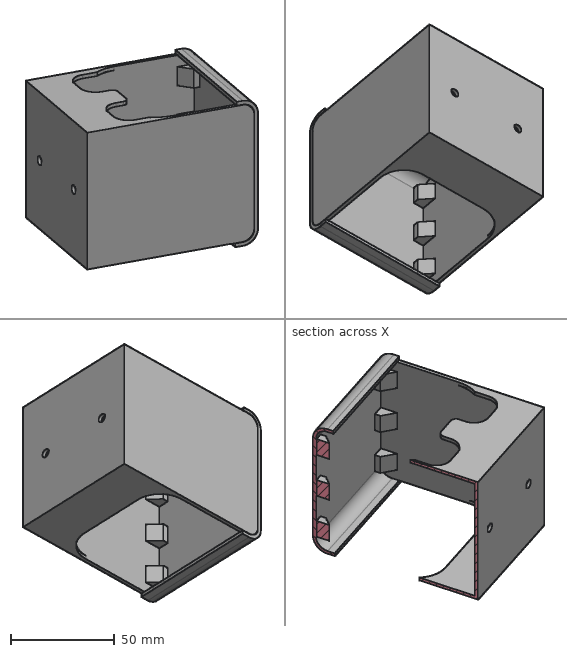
import cadquery as cq
import math

width = 71.5
depth = 91.2
height = 76.4
wall = 2.0

clearance = 0.2
housing_depth = depth - wall - clearance
housing_height = height - 2 * (wall + clearance)
housing_corner_radius = 6.0
half_inner_width = width / 2 - wall
window_cut_depth = 3 * wall

cover_inner_height = height - 2 * wall
cover_inner_radius = housing_corner_radius + clearance
cover_outer_radius = cover_inner_radius + wall
top_lip_length = 11.4
bottom_lip_length = 12.2

bottom_window_front = 25.0
bottom_window_radius = 15.0

shoulder_radius = 20.0
shoulder_start = 46.15
lobe_front = 20.0
lobe_outer_x = 30.8
lobe_radius = 8.0
tongue_half_width = 7.75
tongue_end = 34.9
tongue_radius = 3.0

screw_hole_diameter = 4.5
screw_hole_spacing = 39.6

post_width = 6.0
post_inner_depth = 3.0
post_depth = post_inner_depth + post_width
post_height = 9.9
post_spacing = 25.0
posts_per_side = 3


def rounded_back_block(block_width, front, back, block_height, radius):
    """Block centred on X and Z with its two back edges along X rounded."""
    return (
        cq.Workplane("XY")
        .box(block_width, back - front, block_height)
        .translate((0, (front + back) / 2, 0))
        .edges("|X and >Y")
        .fillet(radius)
    )


def block(x_size, y_start, y_end, z_start, z_end):
    """Plain block centred on X."""
    return (
        cq.Workplane("XY", origin=(0, (y_start + y_end) / 2, z_start))
        .rect(x_size, y_end - y_start)
        .extrude(z_end - z_start)
    )


def bottom_window():
    """Cutter through the floor, rounded at the front and open at the back."""
    cutter = block(
        2 * half_inner_width, bottom_window_front, depth, -height / 2, window_cut_depth - height / 2
    )
    return cutter.edges("|Z and <Y").fillet(bottom_window_radius)


def top_window():
    """Cutter through the roof, open at the back."""
    diagonal = math.sqrt(0.5)
    shoulder_center_x = half_inner_width - shoulder_radius
    shoulder_end_angle = math.acos((lobe_outer_x - shoulder_center_x) / shoulder_radius)

    def shoulder_point(angle):
        x = shoulder_center_x + shoulder_radius * math.cos(angle)
        return (x, shoulder_start - shoulder_radius * math.sin(angle))

    tongue_center = (tongue_half_width - tongue_radius, tongue_end - tongue_radius)
    lobe_center_y = lobe_front + lobe_radius
    inner_center_x = tongue_half_width + lobe_radius
    outer_center_x = lobe_outer_x - lobe_radius

    half = (
        cq.Workplane("XY")
        .moveTo(0, tongue_end)
        .lineTo(tongue_center[0], tongue_end)
        .threePointArc(
            (tongue_center[0] + diagonal * tongue_radius, tongue_center[1] + diagonal * tongue_radius),
            (tongue_half_width, tongue_center[1]),
        )
        .lineTo(tongue_half_width, lobe_center_y)
        .threePointArc(
            (inner_center_x - diagonal * lobe_radius, lobe_center_y - diagonal * lobe_radius),
            (inner_center_x, lobe_front),
        )
        .lineTo(outer_center_x, lobe_front)
        .threePointArc(
            (outer_center_x + diagonal * lobe_radius, lobe_center_y - diagonal * lobe_radius),
            (lobe_outer_x, lobe_center_y),
        )
        .lineTo(*shoulder_point(shoulder_end_angle))
        .threePointArc(shoulder_point(shoulder_end_angle / 2), shoulder_point(0))
        .lineTo(half_inner_width, depth)
        .lineTo(0, depth)
        .close()
        .extrude(window_cut_depth)
    )
    return half.union(half.mirror("YZ")).translate((0, 0, height / 2 - window_cut_depth))


def screw_holes():
    """Cutters for the two holes through the front wall."""
    return (
        cq.Workplane("XZ")
        .pushPoints([(-screw_hole_spacing / 2, 0), (screw_hole_spacing / 2, 0)])
        .circle(screw_hole_diameter / 2)
        .extrude(-2 * wall)
    )


def corner_post(side, middle_z):
    """Post in a back corner, sloping at 45 degrees into the side wall; side is +1 or -1."""
    wall_x = side * half_inner_width
    inner_x = side * (half_inner_width - post_width)
    return (
        cq.Workplane("XY", origin=(0, 0, middle_z - post_height / 2))
        .moveTo(wall_x, housing_depth)
        .lineTo(inner_x, housing_depth)
        .lineTo(inner_x, housing_depth - post_inner_depth)
        .lineTo(wall_x, housing_depth - post_depth)
        .close()
        .extrude(post_height)
    )


def make_housing():
    """Open-backed shell with windows, screw holes and corner posts."""
    shell = rounded_back_block(width, 0, housing_depth, housing_height, housing_corner_radius)
    half_inner_height = housing_height / 2 - wall
    shell = shell.cut(
        block(2 * half_inner_width, wall, depth, -half_inner_height, half_inner_height)
    )
    shell = shell.cut(top_window()).cut(bottom_window()).cut(screw_holes())
    for side in (-1, 1):
        for index in range(posts_per_side):
            middle_z = (index - (posts_per_side - 1) / 2) * post_spacing
            shell = shell.union(corner_post(side, middle_z))
    return shell


def make_cover():
    """Channel with rounded back corners and a longer lip underneath."""
    front = depth - bottom_lip_length
    outer = rounded_back_block(width, front, depth, height, cover_outer_radius)
    inner_front = front - wall
    inner = rounded_back_block(
        2 * width, inner_front, depth - wall, cover_inner_height, cover_inner_radius
    )
    top_trim = block(2 * width, inner_front, depth - top_lip_length, 0, height)
    return outer.cut(inner).cut(top_trim)


housing = make_housing()
cover = make_cover()

result = cq.Compound.makeCompound([housing.val(), cover.val()])